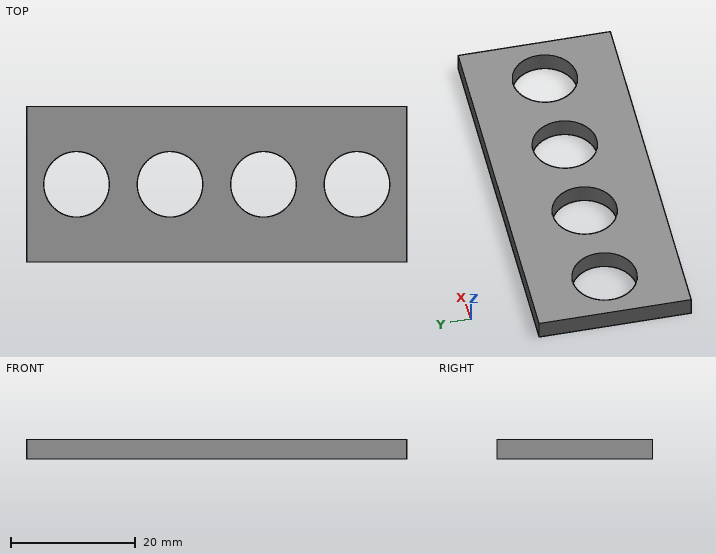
import cadquery as cq

length = 61.0
width = 25.0
thickness = 3.2

hole_count = 4
hole_diameter = 10.5
hole_pitch = 15.0

plate = cq.Workplane("XY").box(length, width, thickness)

result = (
    plate.faces(">Z")
    .workplane()
    .rarray(hole_pitch, width, hole_count, 1)
    .hole(hole_diameter)
)